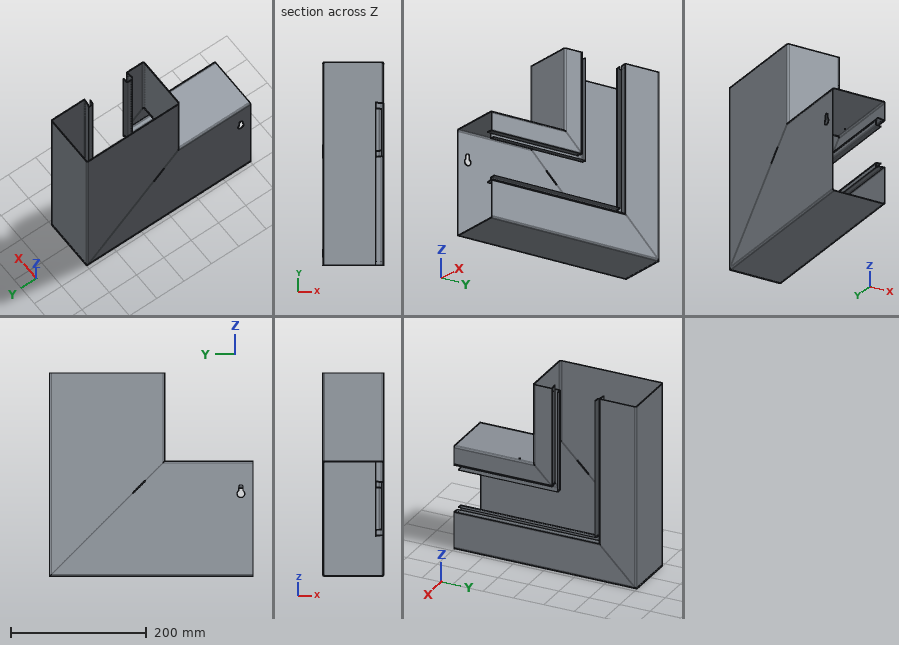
import cadquery as cq

overall = 299.85
depth = 90.0
limb_width = 170.0
sheet = 1.3
bend_radius = 3.0

half_length = overall / 2
half_depth = depth / 2
inner_wall = half_length - limb_width

mouth_start = 31.6
mouth_end = 108.6

lip_depth = 12.5
lip_reach = 8.0
nose_width = 3.5
flange_drop = 0.9
hook_width = 5.0
hook_tip_width = 2.8
hook_tip_rise = 0.6
fold_radius = 1.2
lip_setback = 6.0

keyhole_y = -132.0
keyhole_z = -28.0
keyhole_radius = 5.5
keyhole_slot_width = 6.2
keyhole_slot_rise = 10.0

pin_hole_x = 38.5
pin_hole_y = -45.0
pin_hole_diameter = 2.0

groove_centre = 18.0
groove_length = 26.0
groove_width = 1.5
groove_depth = 0.5


def tube(inset):
    """Rounded rectangular bar filling the upright limb, inset all round."""
    return (
        cq.Workplane("XY", origin=(0, inner_wall + limb_width / 2, -half_length))
        .rect(depth - 2 * inset, limb_width - 2 * inset)
        .extrude(overall)
        .edges("|Z")
        .fillet(bend_radius - inset)
    )


def folded_strip(fold, edge, direction, length):
    """Sheet strip along Z whose centreline is a list of (X, reach into the mouth)."""
    points = [cq.Vector(x, edge + direction * reach, -half_length) for x, reach in fold]
    path = cq.Wire.makePolygon(points).fillet(fold_radius)
    return cq.Workplane("XY").add(path).toPending().offset2D(sheet / 2).extrude(length)


def lip(edge, direction):
    """Folded lip at Y = edge, pointing along direction (+1 or -1) into the mouth."""
    wall = half_depth - sheet / 2
    web = half_depth - lip_depth + sheet / 2
    nose_reach = -sheet / 2
    nose = (wall - nose_width, nose_reach)
    web_root = (web, nose_reach - flange_drop)
    hook_reach = lip_reach - sheet / 2
    hook_root = (web + hook_width, hook_reach)
    hook_tip = (hook_root[0] + hook_tip_width, hook_reach + hook_tip_rise)

    root_fold = [(wall, -2 * nose_width), (wall, nose_reach), nose, web_root]
    full_strip = folded_strip(root_fold, edge, direction, overall)
    hook_fold = [nose, web_root, (web, hook_reach), hook_root, hook_tip]
    short_strip = folded_strip(hook_fold, edge, direction, overall - lip_setback)
    return full_strip.union(short_strip)


def upright_limb():
    """Channel along Z, cut off along the 45 degree mitre plane Z = -Y."""
    y_start = inner_wall + mouth_start
    y_end = inner_wall + mouth_end
    mouth = (
        cq.Workplane("XY", origin=(half_depth, (y_start + y_end) / 2, 0))
        .box(2 * bend_radius, mouth_end - mouth_start, 2 * overall)
    )
    channel = tube(0).cut(tube(sheet)).cut(mouth)
    channel = channel.union(lip(y_start, 1)).union(lip(y_end, -1))
    above_mitre = (
        cq.Workplane("YZ", origin=(-depth, 0, 0))
        .polyline([(-overall, overall), (overall, overall), (overall, -overall)])
        .close()
        .extrude(2 * depth)
    )
    return channel.intersect(above_mitre)


def back_plane(y, z):
    """Workplane just outside the back wall, centred on (y, z)."""
    return cq.Workplane("YZ", origin=(-half_depth - sheet / 2, y, z))


def keyhole():
    """Cutter for a round hole with a round-ended slot above it."""
    round_part = back_plane(keyhole_y, keyhole_z).circle(keyhole_radius).extrude(2 * sheet)
    slot_end = back_plane(keyhole_y, keyhole_z + keyhole_slot_rise)
    slot_end = slot_end.circle(keyhole_slot_width / 2).extrude(2 * sheet)
    slot = back_plane(keyhole_y, keyhole_z + keyhole_slot_rise / 2)
    slot = slot.rect(keyhole_slot_width, keyhole_slot_rise).extrude(2 * sheet)
    return round_part.union(slot).union(slot_end)


def mitre_groove():
    """Bar sunk into the back face along the diagonal Z = -Y."""
    start = cq.Workplane("YZ", origin=(-half_depth, groove_centre, -groove_centre))
    return start.transformed(rotate=(0, 0, -45)).rect(groove_length, groove_width).extrude(groove_depth)


def pin_hole():
    """Cutter for the small hole through the inner wall."""
    start = cq.Workplane("XY", origin=(pin_hole_x, pin_hole_y, -inner_wall - 2 * sheet))
    return start.circle(pin_hole_diameter / 2).extrude(3 * sheet)


upright = upright_limb()
lying = upright.rotate((0, 0, 0), (1, 0, 0), 90).mirror("XY")
result = upright.union(lying, clean=False)
for cutter in (keyhole(), mitre_groove(), pin_hole()):
    result = result.cut(cutter, clean=False)